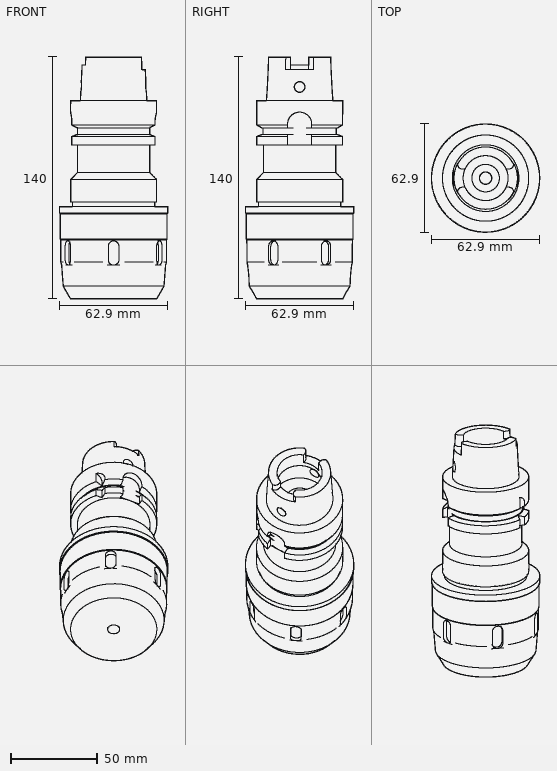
import cadquery as cq
import math


total_height = 140.0
shank_length = 25.0
flange_length = 25.9
flange_top = total_height - shank_length
flange_bottom = flange_top - flange_length

grip_groove_top = 99.0
grip_groove_bottom = 95.3
groove_top_bevel = 1.8
groove_bottom_bevel = 1.3

neck_bottom = 73.2
body_top = 69.2
body_bottom = 56.1
collar_top = 53.5
collar_bottom = 49.7
collar_bevel = 0.4
nut_bottom = 34.7
nut_bevel = 0.4
slotted_band_bottom = 21.3
nose_cone_top = 19.6
nose_bevel_top = 7.4

shank_top_diameter = 36.1
shank_base_diameter = 38.6
flange_diameter = 50.0
grip_groove_diameter = 42.7
grip_groove_land = 0.5
neck_diameter = 42.0
relief_diameter = 47.9
collar_diameter = 62.9
nut_diameter = 62.0
slotted_band_diameter = 61.5
nose_cone_top_diameter = 60.3
nose_cone_bottom_diameter = 58.5

mouth_diameter = 26.0
mouth_depth = 10.4
chamber_diameter = 30.8
tube_seat_diameter = 16.0
tube_seat_depth = 15.0
coolant_diameter = 7.0

shank_notch_width = 10.5
shank_notch_round = 2.8
shank_notch_round_reach = 16.2
left_notch_depth = 4.5
right_notch_depth = 7.1
cross_hole_diameter = 6.0
cross_hole_height = 122.8

left_keyway_width = 12.0
right_keyway_width = 14.0
keyway_top = 108.2
keyway_floor = neck_diameter / 2
orientation_notch_floor = 15.8
orientation_notch_side = 15.5

wrench_slot_count = 6
wrench_slot_width = 6.2
wrench_slot_height = 14.0
wrench_slot_middle = 26.6
wrench_slot_floor = 28.1

cut_reach = collar_diameter


def holder_body():
    """Revolve the outer profile, listed from the nose upward as diameter and height."""
    land_diameter = grip_groove_diameter + 2 * grip_groove_land
    stations = [
        (flange_diameter, 0),
        (nose_cone_bottom_diameter, nose_bevel_top),
        (nose_cone_top_diameter, nose_cone_top),
        (slotted_band_diameter, slotted_band_bottom),
        (slotted_band_diameter, nut_bottom - nut_bevel),
        (nut_diameter, nut_bottom),
        (nut_diameter, collar_bottom - collar_bevel),
        (collar_diameter, collar_bottom),
        (collar_diameter, collar_top),
        (relief_diameter, collar_top),
        (relief_diameter, body_bottom),
        (flange_diameter, body_bottom),
        (flange_diameter, body_top),
        (neck_diameter, neck_bottom),
        (neck_diameter, flange_bottom),
        (flange_diameter, flange_bottom),
        (flange_diameter, grip_groove_bottom - groove_bottom_bevel),
        (land_diameter, grip_groove_bottom),
        (grip_groove_diameter, grip_groove_bottom),
        (grip_groove_diameter, grip_groove_top),
        (land_diameter, grip_groove_top),
        (flange_diameter, grip_groove_top + groove_top_bevel),
        (flange_diameter, flange_top),
        (shank_base_diameter, flange_top),
        (shank_top_diameter, total_height),
    ]
    outline = [(0, 0)]
    outline += [(diameter / 2, height) for diameter, height in stations]
    outline += [(0, total_height)]
    return cq.Workplane("XZ").polyline(outline).close().revolve(360, (0, 0), (0, 1))


def axial_hole(diameter, bottom, top):
    """Cylinder on the Z axis between two heights, used as a cutter."""
    return cq.Workplane("XY").workplane(offset=bottom).circle(diameter / 2).extrude(top - bottom)


def stepped_bore():
    """Mouth, wider chamber down to the flange face, coolant tube seat, through passage."""
    mouth_bottom = total_height - mouth_depth
    mouth = axial_hole(mouth_diameter, flange_top, total_height)
    chamber = axial_hole(chamber_diameter, flange_top, mouth_bottom)
    seat = axial_hole(tube_seat_diameter, flange_top - tube_seat_depth, flange_top)
    passage = axial_hole(coolant_diameter, 0, total_height)
    return mouth.union(chamber).union(seat).union(passage)


def shank_notch(side, depth):
    """Slot through one wall of the shank mouth (side is -1 or +1 along X), flared by rounds outside."""
    half_width = shank_notch_width / 2
    flared_half_width = half_width + shank_notch_round
    round_start = shank_notch_round_reach - shank_notch_round
    round_middle = shank_notch_round * math.sqrt(0.5)
    arc_x = round_start + round_middle
    arc_y = flared_half_width - round_middle
    return (
        cq.Workplane("XY")
        .workplane(offset=total_height - depth)
        .moveTo(0, -half_width)
        .lineTo(side * round_start, -half_width)
        .threePointArc((side * arc_x, -arc_y), (side * shank_notch_round_reach, -flared_half_width))
        .lineTo(side * cut_reach, -flared_half_width)
        .lineTo(side * cut_reach, flared_half_width)
        .lineTo(side * shank_notch_round_reach, flared_half_width)
        .threePointArc((side * arc_x, arc_y), (side * round_start, half_width))
        .lineTo(0, half_width)
        .close()
        .extrude(depth)
    )


def cross_hole():
    """Hole along X through both shank walls."""
    return (
        cq.Workplane("YZ")
        .center(0, cross_hole_height)
        .circle(cross_hole_diameter / 2)
        .extrude(cut_reach, both=True)
    )


def keyway(side, width, floor, middle_y=0):
    """Round-topped slot that runs down through the flange, outward from a flat floor normal to X."""
    radius = width / 2
    return (
        cq.Workplane("YZ")
        .workplane(offset=side * floor)
        .moveTo(middle_y - radius, flange_bottom)
        .lineTo(middle_y - radius, keyway_top - radius)
        .threePointArc((middle_y, keyway_top), (middle_y + radius, keyway_top - radius))
        .lineTo(middle_y + radius, flange_bottom)
        .close()
        .extrude(side * cut_reach)
    )


def orientation_notch():
    """Corner cut in the flange at -X, +Y, made with the same cutter as the -X keyway."""
    notch_middle = orientation_notch_side + left_keyway_width / 2
    return keyway(-1, left_keyway_width, orientation_notch_floor, notch_middle)


def wrench_slots():
    """Flat-floored upright slots, evenly spaced around the nut from -Y."""
    slot = (
        cq.Workplane("XZ", origin=(0, -wrench_slot_floor, wrench_slot_middle))
        .slot2D(wrench_slot_height, wrench_slot_width, 90)
        .extrude(cut_reach)
    )
    slots = slot
    for index in range(1, wrench_slot_count):
        angle = index * 360 / wrench_slot_count
        slots = slots.union(slot.rotate((0, 0, 0), (0, 0, 1), angle))
    return slots


result = (
    holder_body()
    .cut(stepped_bore())
    .cut(shank_notch(-1, left_notch_depth))
    .cut(shank_notch(1, right_notch_depth))
    .cut(cross_hole())
    .cut(keyway(-1, left_keyway_width, keyway_floor))
    .cut(keyway(1, right_keyway_width, keyway_floor))
    .cut(orientation_notch())
    .cut(wrench_slots())
)